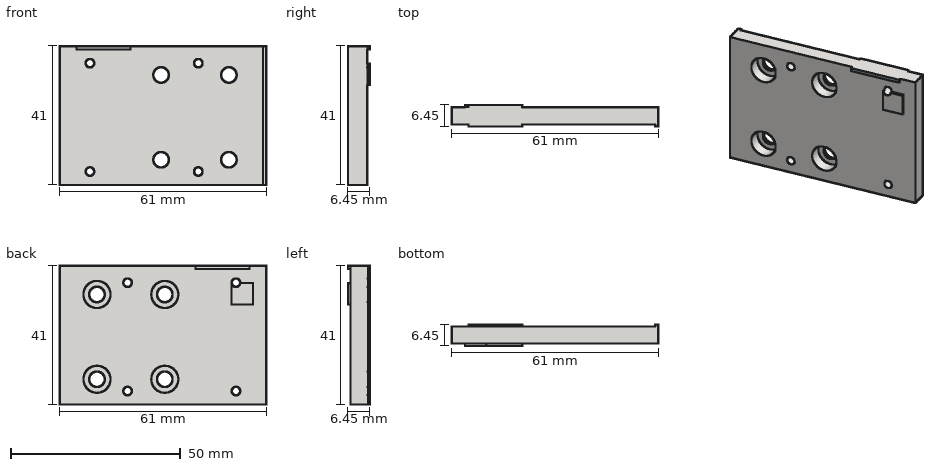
import cadquery as cq

LENGTH = 61.0
HEIGHT = 41.0
THICKNESS = 5.1

FRONT_RAISE = 0.6
BACK_RAISE = 0.75
LIP_WIDTH = 1.0
TAB_START = 5.0
TAB_LENGTH = 15.85

PAD_START = 3.9
PAD_LENGTH = 6.35
PAD_HEIGHT = 6.35
PAD_TOP_MARGIN = 5.1

HOLES_CENTRE_Z = 20.0

SMALL_DIAMETER = 2.45
SMALL_PITCH = 31.95
SMALL_CENTRE_X = 24.95

BOLT_DIAMETER = 4.5
BOLT_PITCH_X = 20.0
BOLT_PITCH_Z = 25.0
BOLT_CENTRE_X = 39.95
COUNTERBORE_DIAMETER = 8.0
COUNTERBORE_DEPTH = 4.15


def block(x, y, z, length, depth, height):
    """Box with its lowest corner at (x, y, z)."""
    return cq.Workplane("XY").box(length, depth, height, centered=False).translate((x, y, z))


def cylinders(diameter, start_y, depth, centre_x, pitch_x, pitch_z):
    """Four cylinders along +Y on a rectangular pattern centred on HOLES_CENTRE_Z."""
    return (
        cq.Workplane("XZ", origin=(centre_x, start_y, HOLES_CENTRE_Z))
        .rarray(pitch_x, pitch_z, 2, 2)
        .circle(diameter / 2)
        .extrude(-depth)
    )


plate = block(0, 0, 0, LENGTH, THICKNESS, HEIGHT)
end_lip = block(LENGTH - LIP_WIDTH, -FRONT_RAISE, 0, LIP_WIDTH, FRONT_RAISE, HEIGHT)

total_depth = FRONT_RAISE + THICKNESS + BACK_RAISE
top_tab = block(TAB_START, -FRONT_RAISE, HEIGHT - LIP_WIDTH, TAB_LENGTH, total_depth, LIP_WIDTH)

pad_bottom = HEIGHT - PAD_TOP_MARGIN - PAD_HEIGHT
back_pad = block(PAD_START, THICKNESS, pad_bottom, PAD_LENGTH, BACK_RAISE, PAD_HEIGHT)

small_holes = cylinders(
    SMALL_DIAMETER, -FRONT_RAISE, total_depth, SMALL_CENTRE_X, SMALL_PITCH, SMALL_PITCH
)
bolt_holes = cylinders(BOLT_DIAMETER, 0, THICKNESS, BOLT_CENTRE_X, BOLT_PITCH_X, BOLT_PITCH_Z)
counterbores = cylinders(
    COUNTERBORE_DIAMETER,
    THICKNESS - COUNTERBORE_DEPTH,
    COUNTERBORE_DEPTH,
    BOLT_CENTRE_X,
    BOLT_PITCH_X,
    BOLT_PITCH_Z,
)

raised_plate = plate.union(end_lip).union(top_tab).union(back_pad)
result = raised_plate.cut(small_holes).cut(bolt_holes).cut(counterbores)